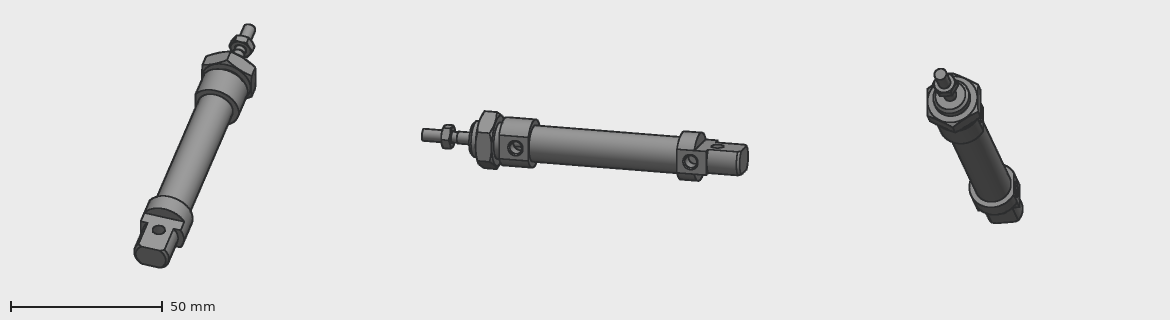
import cadquery as cq
import math

LENGTH = 110.0
TIP_Y = LENGTH / 2

TUBE_D = 12.1
COLLAR_D = 16.1
COLLAR_LENGTH = 10.0
FRONT_FACE_AT = 17.0
FRONT_COLLAR_AT = 27.9
REAR_COLLAR_AT = 89.0
NECK_CHAMFER = 1.0
PORT_FLAT_X = -6.9
CLEVIS_THICKNESS = 8.1
CLEVIS_AT = 94.9
CLEVIS_CHAMFER = 0.9
CLEVIS_HOLE_D = 4.1
CLEVIS_HOLE_AT = 101.0

PORT_D = 4.2
PORT_MOUTH_D = 5.2
PORT_CHAMFER = (PORT_MOUTH_D - PORT_D) / 2
PORT_BOTTOM_X = -1.8
PORT_POSITIONS = (33.5, 93.6)

ROD_D = 4.1
ROD_END_AT = FRONT_COLLAR_AT + COLLAR_LENGTH
ROD_GROOVE_D = 3.6
ROD_GROOVE_END_AT = 12.0

ROD_NUT_FLATS = 7.0
ROD_NUT_AT = 7.0
ROD_NUT_THICKNESS = 3.0
MOUNT_NUT_FLATS = 17.0
MOUNT_NUT_AT = 20.2
MOUNT_NUT_THICKNESS = 5.6
NUT_FACE_RATIO = 0.98
NUT_CHAMFER_ANGLE = 26.0
HEX_HALF_ANGLE = 30.0


def axial_cylinder(diameter, start, end):
    """Cylinder on the Y axis between two distances behind the rod tip."""
    return (
        cq.Workplane("XZ", origin=(0, TIP_Y - start, 0))
        .circle(diameter / 2)
        .extrude(end - start)
    )


def make_port(position):
    """Blind port with a chamfered mouth, entering a collar flat from -X."""
    center = (PORT_FLAT_X, TIP_Y - position, 0)
    depth = PORT_BOTTOM_X - PORT_FLAT_X
    bore = cq.Workplane("YZ", origin=center).circle(PORT_D / 2).extrude(depth)
    mouth = (
        cq.Workplane("YZ", origin=center)
        .circle(PORT_MOUTH_D / 2)
        .workplane(offset=PORT_CHAMFER)
        .circle(PORT_D / 2)
        .loft()
    )
    return bore.union(mouth)


def make_collar(start):
    """Round collar with one flat on its -X side."""
    collar = axial_cylinder(COLLAR_D, start, start + COLLAR_LENGTH)
    beyond_flat = cq.Workplane("XY").box(COLLAR_D, LENGTH, COLLAR_D, centered=(False, True, True))
    beyond_flat = beyond_flat.translate((PORT_FLAT_X - COLLAR_D, 0, 0))
    return collar.cut(beyond_flat)


def make_housing():
    """Tube, collars, threaded neck and rear tongue as one body."""
    barrel = axial_cylinder(TUBE_D, FRONT_FACE_AT, LENGTH)
    barrel = barrel.faces(">Y").chamfer(NECK_CHAMFER).faces("<Y").chamfer(CLEVIS_CHAMFER)
    housing = barrel.union(make_collar(FRONT_COLLAR_AT)).union(make_collar(REAR_COLLAR_AT))

    waste = cq.Workplane("XY").box(
        COLLAR_D, LENGTH - CLEVIS_AT, COLLAR_D, centered=(True, False, True)
    )
    waste_z = (CLEVIS_THICKNESS + COLLAR_D) / 2
    for side in (1, -1):
        housing = housing.cut(waste.translate((0, TIP_Y - LENGTH, side * waste_z)))

    pivot = (
        cq.Workplane("XY", origin=(0, TIP_Y - CLEVIS_HOLE_AT, 0))
        .circle(CLEVIS_HOLE_D / 2)
        .extrude(CLEVIS_THICKNESS, both=True)
    )
    housing = housing.cut(pivot)

    for position in PORT_POSITIONS:
        housing = housing.cut(make_port(position))

    return housing.cut(axial_cylinder(ROD_D, FRONT_FACE_AT, ROD_END_AT))


def make_piston_rod():
    """Rod with a thread runout groove behind its nut."""
    rod = axial_cylinder(ROD_D, 0, ROD_END_AT)
    groove_start = ROD_NUT_AT + ROD_NUT_THICKNESS
    groove = axial_cylinder(2 * ROD_D, groove_start, ROD_GROOVE_END_AT)
    groove = groove.cut(axial_cylinder(ROD_GROOVE_D, groove_start, ROD_GROOVE_END_AT))
    return rod.cut(groove)


def make_nut(flats, thickness, start, bore, corner_angle):
    """Hexagon nut on the axis, corners chamfered by a cone at both faces.

    At corner_angle 0 two corners lie on the X axis; at 30 degrees two lie on the Z axis.
    """
    corner_d = flats / math.cos(math.radians(HEX_HALF_ANGLE))
    chamfer_width = (corner_d - NUT_FACE_RATIO * flats) / 2
    chamfer_height = chamfer_width * math.tan(math.radians(NUT_CHAMFER_ANGLE))
    origin = (0, TIP_Y - start, 0)
    hexagon = cq.Workplane("XZ", origin=origin).polygon(6, corner_d).extrude(thickness)
    hexagon = hexagon.rotate((0, 0, 0), (0, 1, 0), corner_angle)
    envelope = axial_cylinder(corner_d, start, start + thickness)
    envelope = envelope.faces("<Y or >Y").edges().chamfer(chamfer_height, chamfer_width)
    return hexagon.intersect(envelope).cut(axial_cylinder(bore, start, start + thickness))


housing = make_housing()
piston_rod = make_piston_rod()
rod_nut = make_nut(ROD_NUT_FLATS, ROD_NUT_THICKNESS, ROD_NUT_AT, ROD_D, 0)
mount_nut = make_nut(MOUNT_NUT_FLATS, MOUNT_NUT_THICKNESS, MOUNT_NUT_AT, TUBE_D, HEX_HALF_ANGLE)

result = cq.Compound.makeCompound(
    [housing.val(), piston_rod.val(), rod_nut.val(), mount_nut.val()]
)